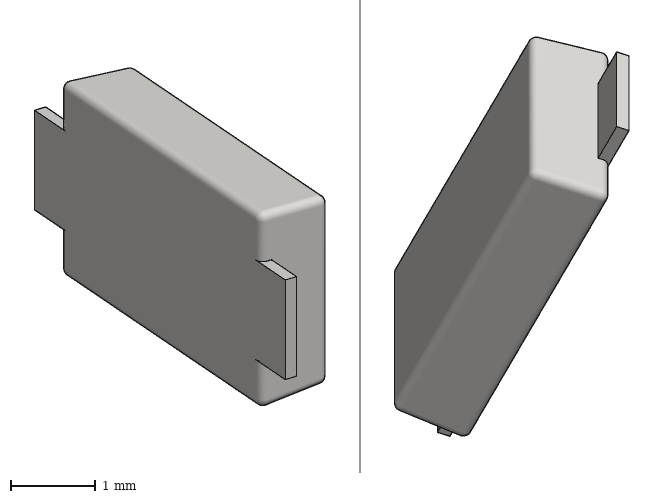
import cadquery as cq
import math

total_length = 5.32
body_length = 4.245
body_height = 2.59
body_depth = 1.0
draft_angle = 3.0
edge_radius = 0.1
body_offset = 0.01

lead_length = 0.965
lead_height = 1.33
lead_thickness = 0.16

front_y = -body_depth / 2

draft = math.radians(draft_angle)
rounding_loss = edge_radius * (math.tan(draft) + 1 - 1 / math.cos(draft))


def front_plane():
    """Plane of the -Y face, with its normal pointing into the part (+Y)."""
    return cq.Workplane(cq.Plane(origin=(0, front_y, 0), xDir=(1, 0, 0), normal=(0, 1, 0)))


def make_body():
    """Drafted block with every edge rounded."""
    block = (
        front_plane()
        .center(body_offset, 0)
        .rect(body_length + 2 * rounding_loss, body_height + 2 * rounding_loss)
        .extrude(body_depth, taper=draft_angle)
    )
    return block.edges().fillet(edge_radius)


def make_lead(side):
    """Flat lead at one end; side is -1 or +1 along X."""
    center_x = side * (total_length - lead_length) / 2
    return front_plane().center(center_x, 0).rect(lead_length, lead_height).extrude(lead_thickness)


leads = make_lead(-1).add(make_lead(1)).combine()
result = make_body().cut(leads).union(leads, clean=False)